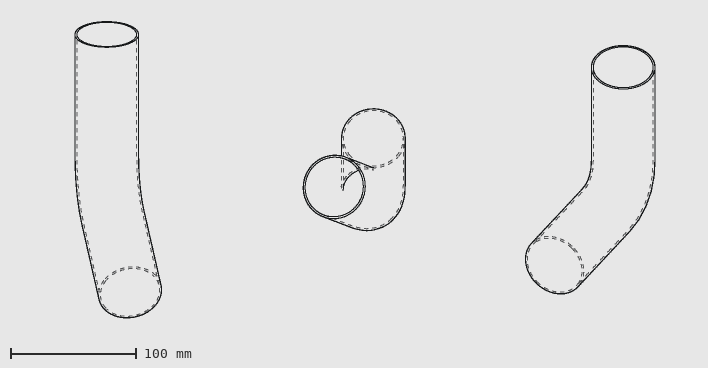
import cadquery as cq
import math

outer_diameter = 50.8
inner_diameter = 47.6
leg_length = 101.6
bend_radius = 2.5 * outer_diameter
bend_angle = 30.0


def bend_point(angle):
    """Centreline point of the bend, which starts at the origin heading -Z and turns toward +Y."""
    turn = math.radians(angle)
    return (bend_radius * (1 - math.cos(turn)), -bend_radius * math.sin(turn))


def tube_centreline():
    """Vertical upper leg, circular bend and tilted lower leg in the YZ plane."""
    bend_end_y, bend_end_z = bend_point(bend_angle)
    tilt = math.radians(bend_angle)
    lower_end = (
        bend_end_y + leg_length * math.sin(tilt),
        bend_end_z - leg_length * math.cos(tilt),
    )
    return (
        cq.Workplane("YZ")
        .moveTo(0, leg_length)
        .lineTo(0, 0)
        .threePointArc(bend_point(bend_angle / 2), (bend_end_y, bend_end_z))
        .lineTo(*lower_end)
    )


def bent_tube():
    """Ring section at the top opening, swept down the centreline."""
    return (
        cq.Workplane("XY", origin=(0, 0, leg_length))
        .circle(outer_diameter / 2)
        .circle(inner_diameter / 2)
        .sweep(tube_centreline())
    )


result = bent_tube()